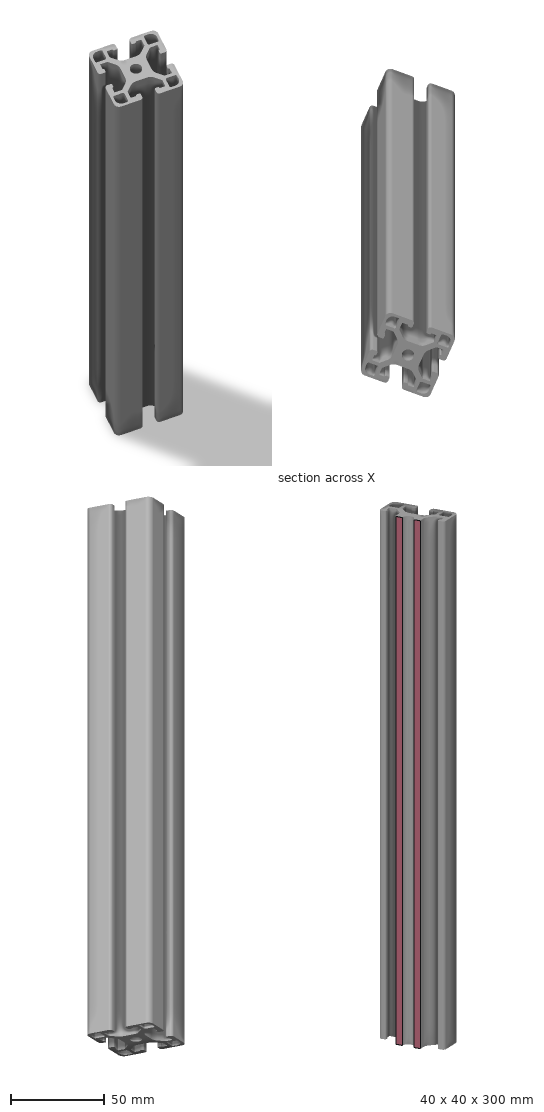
import cadquery as cq
import math

length = 300.0
side = 40.0
half_side = side / 2
corner_radius = 3.0

mouth_width = 8.0
mouth_radius = 1.65
flange_thickness = 3.3
lip_width = 2.7
lip_height = 1.0
lip_radius = 0.75
slot_width = 20.0
slot_corner_radius = 0.3

core_width = 15.3
core_radius = 4.8
web_thickness = 3.3
web_root_radius = 0.3
bore_diameter = 6.5

cavity_wall = 1.5
cavity_inner_reach = 12.0
cavity_outer_radius = 3.5
cavity_inner_radius = 1.0

mouth_edge = mouth_width / 2
lip_edge = mouth_edge + lip_width
slot_edge = slot_width / 2
core_face = core_width / 2
flange_face = half_side - flange_thickness
lip_face = flange_face - lip_height
web_offset = web_thickness / math.sqrt(2)

mouth_corner = (mouth_edge, half_side)
lip_inner_corner = (mouth_edge, lip_face)
lip_outer_corner = (lip_edge, lip_face)
lip_root = (lip_edge, flange_face)
slot_corner = (slot_edge, flange_face)
web_root = (slot_edge, slot_edge + web_offset)
core_corner = (core_face - web_offset, core_face)

slot_half_outline = [
    mouth_corner,
    lip_inner_corner,
    lip_outer_corner,
    lip_root,
    slot_corner,
    web_root,
    core_corner,
]
slot_fillets = [
    (lip_inner_corner, lip_radius),
    (lip_outer_corner, lip_radius),
    (slot_corner, slot_corner_radius),
    (web_root, web_root_radius),
    (core_corner, core_radius),
]


def fillet_upright_edge(body, x, y, radius):
    """Round the vertical edge of the body that stands at (x, y)."""
    nearest = cq.selectors.NearestToPointSelector((x, y, length / 2))
    return body.edges("|Z").edges(nearest).fillet(radius)


def slot_cutter():
    """The +Y slot, mirrored about the YZ plane, as a solid to cut away."""
    left_half = [(-x, y) for x, y in reversed(slot_half_outline)]
    cutter = cq.Workplane("XY").polyline(slot_half_outline + left_half).close().extrude(length)
    for (x, y), radius in slot_fillets:
        cutter = fillet_upright_edge(cutter, x, y, radius)
        cutter = fillet_upright_edge(cutter, -x, y, radius)
    return cutter


def cavity_cutter():
    """The hollow in the +X +Y corner; its outermost edge has the larger radius."""
    near = cavity_inner_reach
    far = half_side - cavity_wall
    center = (near + far) / 2
    cutter = cq.Workplane("XY").center(center, center).rect(far - near, far - near).extrude(length)
    cutter = fillet_upright_edge(cutter, far, far, cavity_outer_radius)
    for x, y in [(near, near), (near, far), (far, near)]:
        cutter = fillet_upright_edge(cutter, x, y, cavity_inner_radius)
    return cutter


def round_mouth_corners(bar):
    """Round the outer corners of the flanges on both sides of every slot mouth."""
    for u in (-mouth_edge, mouth_edge):
        for v in (-half_side, half_side):
            bar = fillet_upright_edge(bar, u, v, mouth_radius)
            bar = fillet_upright_edge(bar, v, u, mouth_radius)
    return bar


slot = slot_cutter()
cavity = cavity_cutter()

bar = cq.Workplane("XY").rect(side, side).extrude(length).edges("|Z").fillet(corner_radius)
for angle in (0, 90, 180, 270):
    for cutter in (slot, cavity):
        bar = bar.cut(cutter.rotate((0, 0, 0), (0, 0, 1), angle))
bar = round_mouth_corners(bar)

result = bar.faces(">Z").workplane(origin=(0, 0, length)).hole(bore_diameter)